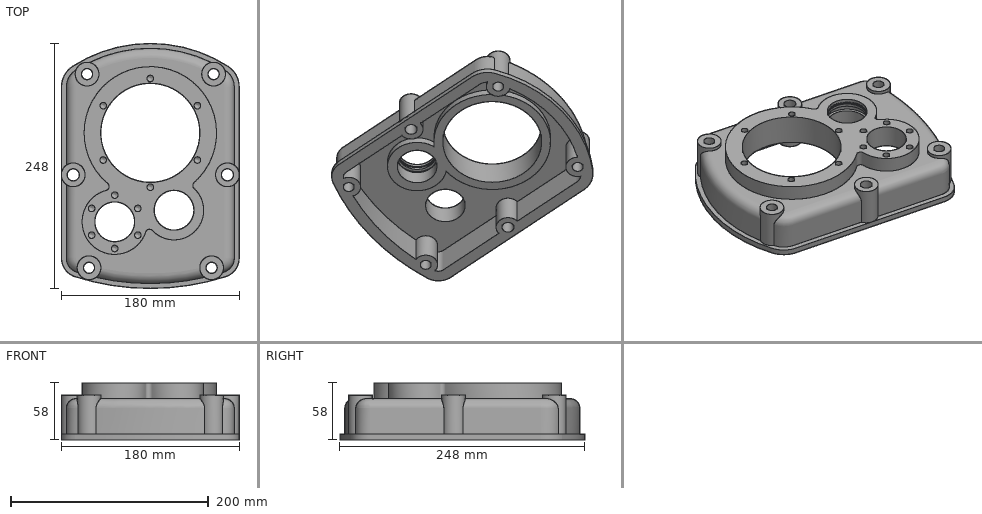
import cadquery as cq
import math


flange_top = 6.0
cover_top = 42.0
screw_boss_top = 45.5
hub_top = 58.0
inner_hub_bottom = 26.0

half_width = 90.0
back_end_y = 90.5
length = 248.0
front_end_y = back_end_y - length
back_radius = 145.0
front_radius = 250.0
back_corner_radius = 25.0
front_corner_radius = 20.0

cover_step = 5.0
cover_edge_fillet = 10.0
wall = 7.0
roof_thickness = 8.0
cavity_top = cover_top - roof_thickness

main_hub = (0.0, 0.0)
main_hub_radius = 67.0
main_bore_diameter = 100.0
main_inner_hub_diameter = 118.0
left_hub = (-36.0, -90.0)
left_hub_radius = 33.0
right_hub = (24.0, -78.3)
right_hub_radius = 30.0
small_bore_diameter = 40.0
hub_notch_fillet = 4.0

ring_grooves = [(42.5, 4.0, 1.85), (45.6, 8.7, 5.8)]

tap_diameter = 6.65
tap_depth = 18.0
tap_tip_angle = 118.0
taps_per_circle = 6
main_tap_circle_radius = 55.0
left_tap_circle_radius = 27.0

screw_boss_diameter = 24.0
screw_bosses = [
    ((64.0, 59.4), 11.0),
    ((78.0, -42.5), 12.0),
    ((62.0, -136.5), 11.0),
]


def corner_points(half_x, end_y, end_radius, corner_radius, direction):
    """Side tangent, corner middle and end-arc tangent points of the +X corner at one end.

    direction is +1 for the back (+Y) end and -1 for the front end.
    """
    arc_centre_y = end_y - direction * end_radius
    corner_x = half_x - corner_radius
    rise = math.sqrt((end_radius - corner_radius) ** 2 - corner_x**2)
    corner_y = arc_centre_y + direction * rise
    end_angle = math.atan2(rise, corner_x)

    def on_corner(angle):
        x = corner_x + corner_radius * math.cos(angle)
        y = corner_y + direction * corner_radius * math.sin(angle)
        return (x, y)

    return on_corner(0), on_corner(end_angle / 2), on_corner(end_angle)


def mirrored(point):
    return (-point[0], point[1])


def outline(inset):
    """Closed cover outline, set in from the flange edge."""
    half_x = half_width - inset
    back_y = back_end_y - inset
    front_y = front_end_y + inset
    back_side, back_mid, back_end = corner_points(
        half_x, back_y, back_radius - inset, back_corner_radius - inset, 1
    )
    front_side, front_mid, front_end = corner_points(
        half_x, front_y, front_radius - inset, front_corner_radius - inset, -1
    )
    return (
        cq.Workplane("XY")
        .moveTo(*front_side)
        .lineTo(*back_side)
        .threePointArc(back_mid, back_end)
        .threePointArc((0, back_y), mirrored(back_end))
        .threePointArc(mirrored(back_mid), mirrored(back_side))
        .lineTo(*mirrored(front_side))
        .threePointArc(mirrored(front_mid), mirrored(front_end))
        .threePointArc((0, front_y), front_end)
        .threePointArc(front_mid, front_side)
        .close()
    )


def cylinder(centre, radius, bottom, top):
    return cq.Workplane("XY", origin=(*centre, bottom)).circle(radius).extrude(top - bottom)


def outer_junction(first, first_radius, second, second_radius):
    """Crossing of two hub circles lying to the left of the direction first -> second."""
    dx = second[0] - first[0]
    dy = second[1] - first[1]
    distance = math.hypot(dx, dy)
    along = (distance**2 + first_radius**2 - second_radius**2) / (2 * distance)
    across = math.sqrt(first_radius**2 - along**2)
    x = first[0] + (along * dx - across * dy) / distance
    y = first[1] + (along * dy + across * dx) / distance
    return (x, y)


def make_shell():
    """Flange and hollow cover with a rounded top edge."""
    flange = outline(0).extrude(flange_top)
    cover = outline(cover_step).extrude(cover_top)
    cover = cover.faces(">Z").edges().fillet(cover_edge_fillet)
    cavity = outline(cover_step).offset2D(-wall).extrude(cavity_top)
    return flange.union(cover).cut(cavity)


def make_hubs():
    """Three merged hubs on top of the cover, with rounded notches where they meet."""
    hubs = [
        (main_hub, main_hub_radius),
        (right_hub, right_hub_radius),
        (left_hub, left_hub_radius),
    ]
    web = [centre for centre, _ in hubs]
    base = cq.Workplane("XY", origin=(0, 0, cavity_top))
    block = base.polyline(web).close().extrude(hub_top - cavity_top)
    for centre, radius in hubs:
        block = block.union(cylinder(centre, radius, cavity_top, hub_top))
    middle_z = (cavity_top + hub_top) / 2
    for index, (centre, radius) in enumerate(hubs):
        next_centre, next_radius = hubs[(index + 1) % len(hubs)]
        x, y = outer_junction(centre, radius, next_centre, next_radius)
        notch = cq.selectors.NearestToPointSelector((x, y, middle_z))
        block = block.edges("|Z").edges(notch).fillet(hub_notch_fillet)
    return block


def make_inner_hubs():
    """Hub extensions inside the cavity around the main and right bores."""
    main = cylinder(main_hub, main_inner_hub_diameter / 2, inner_hub_bottom, cover_top)
    right = cylinder(right_hub, right_hub_radius, inner_hub_bottom, cover_top)
    return main.union(right)


def boss_positions():
    for centre, hole_diameter in screw_bosses:
        yield centre, hole_diameter
        yield mirrored(centre), hole_diameter


def tapped_holes(centre, circle_radius):
    """Circle of blind drilled holes with conical tips, the first one towards +Y."""
    radius = tap_diameter / 2
    tip = radius / math.tan(math.radians(tap_tip_angle / 2))
    drill = (
        cq.Workplane("XZ")
        .polyline([(0, 0), (radius, 0), (radius, -tap_depth), (0, -tap_depth - tip)])
        .close()
        .revolve(360, (0, 0, 0), (0, 1, 0))
    )
    holes = cq.Workplane("XY")
    for index in range(taps_per_circle):
        angle = math.pi / 2 + index * 2 * math.pi / taps_per_circle
        x = centre[0] + circle_radius * math.cos(angle)
        y = centre[1] + circle_radius * math.sin(angle)
        holes = holes.union(drill.translate((x, y, hub_top)))
    return holes


result = make_shell().union(make_hubs()).union(make_inner_hubs())
for position, _ in boss_positions():
    result = result.union(cylinder(position, screw_boss_diameter / 2, 0, screw_boss_top))

result = result.cut(cylinder(main_hub, main_bore_diameter / 2, 0, hub_top))
for position in (left_hub, right_hub):
    result = result.cut(cylinder(position, small_bore_diameter / 2, 0, hub_top))
for diameter, depth, width in ring_grooves:
    groove_top = hub_top - depth
    result = result.cut(cylinder(right_hub, diameter / 2, groove_top - width, groove_top))
for position, hole_diameter in boss_positions():
    result = result.cut(cylinder(position, hole_diameter / 2, 0, screw_boss_top))
result = result.cut(tapped_holes(main_hub, main_tap_circle_radius))
result = result.cut(tapped_holes(left_hub, left_tap_circle_radius))